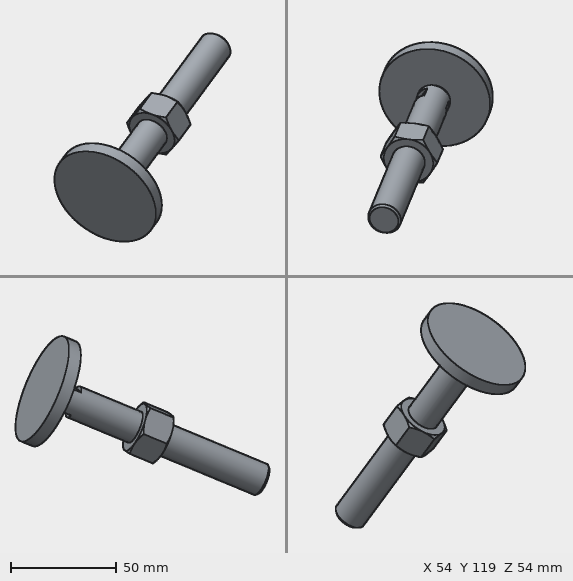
import cadquery as cq
import math

total_length = 119.0

plate_diameter = 54.0
plate_thickness = 6.5

seat_height = 0.5
seat_top_radius = 5.9
seat_base_radius = seat_top_radius + seat_height
seat_top = plate_thickness + seat_height

stud_diameter = 16.0
stud_radius = stud_diameter / 2
end_chamfer_length = 1.1
end_chamfer_depth = 1.0

flats_width = 12.0
flats_length = 6.0
flats_height_above_plate = 4.4
flats_tilt = 30.0

nut_across_flats = 24.0
nut_height = 14.6
nut_start = 50.0
nut_chamfer_angle = 30.0
nut_across_corners = nut_across_flats / math.cos(math.radians(30))


def workplane_at(y):
    """Plane across the axis at height y, with sketches extruding towards +Y."""
    plane = cq.Plane(origin=(0, y, 0), xDir=(1, 0, 0), normal=(0, 1, 0))
    return cq.Workplane(plane)


def make_foot_plate():
    """Disc with the conical seat in the middle of its upper face."""
    return (
        cq.Workplane("XY")
        .lineTo(plate_diameter / 2, 0)
        .lineTo(plate_diameter / 2, plate_thickness)
        .lineTo(seat_base_radius, plate_thickness)
        .lineTo(seat_top_radius, seat_top)
        .lineTo(0, seat_top)
        .close()
        .revolve(360, (0, 0, 0), (0, 1, 0))
    )


def make_wrench_flat_cutter():
    """Two blocks that leave the stud flats_width thick between them."""
    block_depth = stud_diameter
    block_offset = (flats_width + block_depth) / 2
    flats_middle = plate_thickness + flats_height_above_plate + flats_length / 2
    return (
        cq.Workplane("XY")
        .pushPoints([(-block_offset, flats_middle), (block_offset, flats_middle)])
        .box(block_depth, flats_length, stud_diameter)
        .rotate((0, 0, 0), (0, 1, 0), -flats_tilt)
    )


def make_stud():
    """Turned rod with a cone at each end and two wrench flats near the foot."""
    end_radius = stud_radius - end_chamfer_depth
    stud = (
        cq.Workplane("XY")
        .moveTo(0, seat_top)
        .lineTo(end_radius, seat_top)
        .lineTo(stud_radius, seat_top + end_chamfer_length)
        .lineTo(stud_radius, total_length - end_chamfer_length)
        .lineTo(end_radius, total_length)
        .lineTo(0, total_length)
        .close()
        .revolve(360, (0, 0, 0), (0, 1, 0))
    )
    return stud.cut(make_wrench_flat_cutter())


def make_nut_envelope():
    """Turned blank whose conical ends bevel the corners of the hexagon."""
    end_radius = nut_across_flats / 2
    corner_radius = nut_across_corners / 2
    bevel_height = (corner_radius - end_radius) * math.tan(math.radians(nut_chamfer_angle))
    nut_end = nut_start + nut_height
    return (
        cq.Workplane("XY")
        .moveTo(0, nut_start)
        .lineTo(end_radius, nut_start)
        .lineTo(corner_radius, nut_start + bevel_height)
        .lineTo(corner_radius, nut_end - bevel_height)
        .lineTo(end_radius, nut_end)
        .lineTo(0, nut_end)
        .close()
        .revolve(360, (0, 0, 0), (0, 1, 0))
    )


def make_nut():
    """Hexagon with two corners on the X axis and a plain bore that fits the stud."""
    hexagon = workplane_at(nut_start).polygon(6, nut_across_corners).extrude(nut_height)
    bore = workplane_at(nut_start).circle(stud_radius).extrude(nut_height)
    return hexagon.intersect(make_nut_envelope()).cut(bore)


foot_plate = make_foot_plate()
stud = make_stud()
nut = make_nut()

result = cq.Compound.makeCompound([foot_plate.val(), stud.val(), nut.val()])